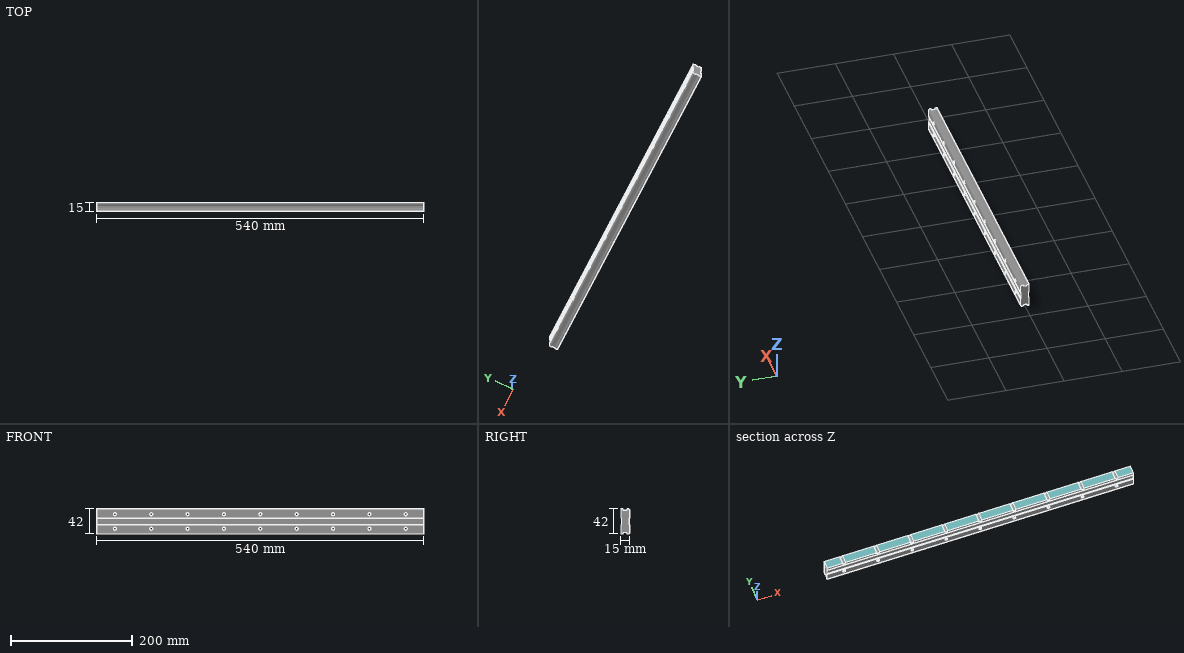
import cadquery as cq
import math

length = 540.0
thickness = 15.0
height = 42.0

channel_floor_width = 10.0
channel_depth = 1.0
channel_mouth_width = channel_floor_width + 2 * channel_depth

groove_mouth_width = 7.6
groove_depth = 2.5
groove_flank_angle = 60.0
groove_offset = -0.5
groove_floor_width = groove_mouth_width - 2 * groove_depth / math.tan(math.radians(groove_flank_angle))
groove_mouth_radius = 0.5
groove_floor_radius = 1.0

front_chamfer = 0.5
back_bevel = 2.0
bevel_inner_radius = 1.5
bevel_outer_radius = 0.5

hole_diameter = 4.5
hole_pitch = 60.0
holes_per_row = 9
hole_row_spacing = 24.0
hole_rows = 2

half_thickness = thickness / 2
half_height = height / 2


def make_bar():
    """Rectangular bar with its front corners chamfered and its back corners bevelled."""
    bar = cq.Workplane("XY").box(length, thickness, height)
    bar = bar.faces("<Y").edges("|X").chamfer(front_chamfer)
    return bar.faces(">Y").edges("|X").chamfer(back_bevel)


def extrude_along_rail(outline):
    """Full-length prism with the given closed (Y, Z) outline."""
    return cq.Workplane("YZ").polyline(outline).close().extrude(length / 2, both=True)


def make_channel(side):
    """Cutter for the channel in the front (side = -1) or back (side = 1) face."""
    mouth_y = side * half_thickness
    floor_y = side * (half_thickness - channel_depth)
    return extrude_along_rail([
        (mouth_y, -channel_mouth_width / 2),
        (floor_y, -channel_floor_width / 2),
        (floor_y, channel_floor_width / 2),
        (mouth_y, channel_mouth_width / 2),
    ])


def make_groove(side):
    """Cutter for the groove in the bottom (side = -1) or top (side = 1) edge."""
    mouth_z = side * half_height
    floor_z = side * (half_height - groove_depth)
    return extrude_along_rail([
        (groove_offset - groove_mouth_width / 2, mouth_z),
        (groove_offset - groove_floor_width / 2, floor_z),
        (groove_offset + groove_floor_width / 2, floor_z),
        (groove_offset + groove_mouth_width / 2, mouth_z),
    ])


def round_long_edges(body, y, z, radius):
    """Fillet the two full-length edges that pass through (y, z) and (y, -z)."""
    for side in (-1, 1):
        edge = cq.selectors.NearestToPointSelector((0, y, side * z))
        body = body.edges(edge).fillet(radius)
    return body


def make_holes():
    """Cutters for both rows of holes, running right through along Y."""
    return (
        cq.Workplane("XZ")
        .rarray(hole_pitch, hole_row_spacing, holes_per_row, hole_rows)
        .circle(hole_diameter / 2)
        .extrude(thickness, both=True)
    )


result = make_bar()
for side in (-1, 1):
    result = result.cut(make_channel(side))
    result = result.cut(make_groove(side))

for flank in (-1, 1):
    mouth_edge_y = groove_offset + flank * groove_mouth_width / 2
    floor_edge_y = groove_offset + flank * groove_floor_width / 2
    result = round_long_edges(result, mouth_edge_y, half_height, groove_mouth_radius)
    result = round_long_edges(result, floor_edge_y, half_height - groove_depth, groove_floor_radius)

result = round_long_edges(result, half_thickness - back_bevel, half_height, bevel_inner_radius)
result = round_long_edges(result, half_thickness, half_height - back_bevel, bevel_outer_radius)

result = result.cut(make_holes())